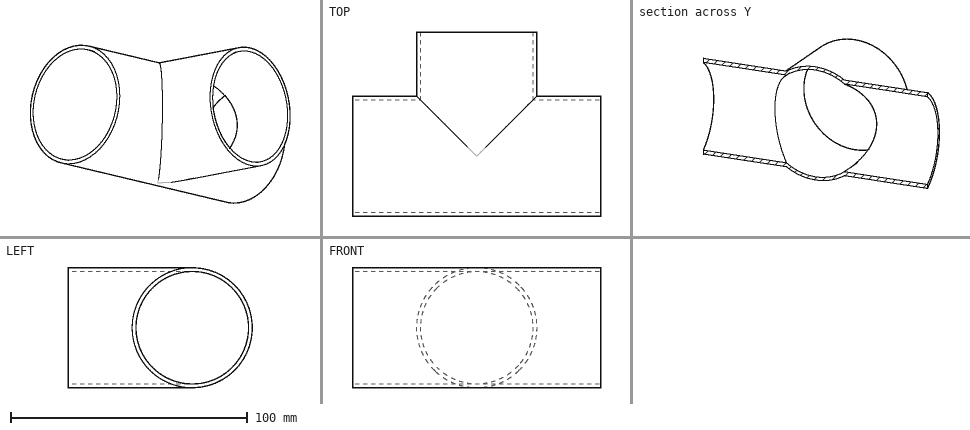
import cadquery as cq

outer_diameter = 50.8
bore_diameter = 47.5
run_length = 104.78
branch_length = run_length / 2


def run_cylinder(diameter):
    """Full-length cylinder along X, centred on the origin."""
    return cq.Workplane("YZ").circle(diameter / 2).extrude(run_length / 2, both=True)


def branch_cylinder(diameter):
    """Cylinder from the run axis out to the branch end along +Y."""
    return cq.Workplane("XZ").circle(diameter / 2).extrude(-branch_length)


def tee_volume(diameter):
    """Run and branch cylinders of one diameter joined at a mitred intersection."""
    return run_cylinder(diameter).union(branch_cylinder(diameter))


result = tee_volume(outer_diameter).cut(tee_volume(bore_diameter))